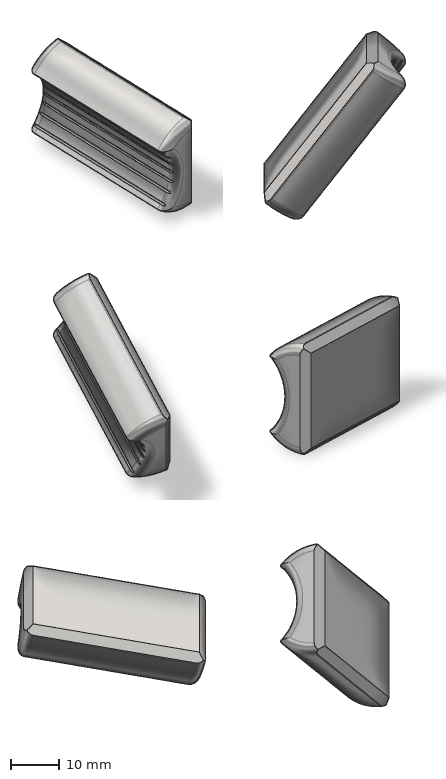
import cadquery as cq
import math

LENGTH = 38.5
DEPTH = 9.94
HEIGHT = 24.19

RIM_DEPTH = 2.0
TIP_SPACING = 16.56
OUTER_RADIUS = 11.2
GRIP_RADIUS = 11.12

END_FILLET = 2.0
BACK_CHAMFER = 1.68

GROOVE_COUNT = 7
GROOVE_PITCH = 2.4
GROOVE_RADIUS = 0.27

half_height = HEIGHT / 2
half_tip = TIP_SPACING / 2
grip_center_y = -DEPTH - math.sqrt(GRIP_RADIUS**2 - half_tip**2)
grip_apex_y = grip_center_y + GRIP_RADIUS


def extrude_along_length(sketch):
    """Extrude a YZ sketch symmetrically about x = 0."""
    return sketch.extrude(LENGTH / 2, both=True)


def outer_arc_center():
    """Center (y, z) of the upper convex arc, which joins the rim to the front tip."""
    run = DEPTH - RIM_DEPTH
    drop = half_height - half_tip
    chord = math.hypot(run, drop)
    offset = math.sqrt(OUTER_RADIUS**2 - (chord / 2) ** 2)
    y = -(RIM_DEPTH + DEPTH) / 2 + offset * drop / chord
    z = (half_height + half_tip) / 2 - offset * run / chord
    return y, z


def make_body():
    """Crescent cross-section with rounded end edges; its arcs run on to the back plane."""
    center_y, center_z = outer_arc_center()

    def arc_height(y):
        return center_z + math.sqrt(OUTER_RADIUS**2 - (y - center_y) ** 2)

    back_z = arc_height(0)
    middle_y = -DEPTH / 2
    middle_z = arc_height(middle_y)
    profile = (
        cq.Workplane("YZ")
        .moveTo(0, -back_z)
        .threePointArc((middle_y, -middle_z), (-DEPTH, -half_tip))
        .threePointArc((grip_apex_y, 0), (-DEPTH, half_tip))
        .threePointArc((middle_y, middle_z), (0, back_z))
        .close()
    )
    body = extrude_along_length(profile)
    end_edges = body.faces("<X or >X").edges("not(>Y)")
    return end_edges.fillet(END_FILLET)


def make_chamfered_envelope():
    """Bounding block whose back face is chamfered all around."""
    block = cq.Workplane("XY").box(LENGTH, DEPTH, HEIGHT).translate((0, -DEPTH / 2, 0))
    return block.faces(">Y").edges().chamfer(BACK_CHAMFER)


def make_grooves():
    """Round grooves running the full length, centered on the grip surface."""
    first_z = -GROOVE_PITCH * (GROOVE_COUNT - 1) / 2
    heights = [first_z + index * GROOVE_PITCH for index in range(GROOVE_COUNT)]
    centers = [(grip_center_y + math.sqrt(GRIP_RADIUS**2 - z**2), z) for z in heights]
    return extrude_along_length(cq.Workplane("YZ").pushPoints(centers).circle(GROOVE_RADIUS))


result = make_body().intersect(make_chamfered_envelope()).cut(make_grooves())